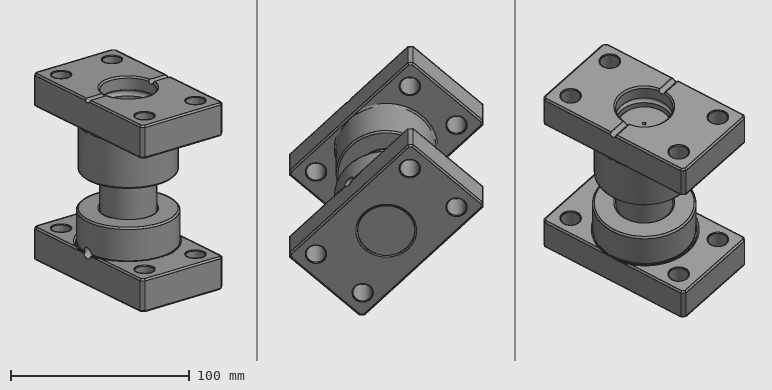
import cadquery as cq
WIDTH = 100.0
DEPTH = 58.0
HEIGHT = 113.0

PLATE_THICKNESS = 20.0
CORNER_CHAMFER = 2.0
EDGE_CHAMFER = 1.01

BOLT_DIAMETER = 11.0
BOLT_CHAMFER = 0.5
BOLT_SPACING_X = 76.0
BOLT_SPACING_Y = 36.0

PILLAR_DIAMETER = 32.0
PILLAR_LENGTH = 100.0
PILLAR_ROUNDING = 3.5
CENTRE_DIAMETER = 1.9
CENTRE_DEPTH = CENTRE_DIAMETER / 2

HOLDER_HUB_DIAMETER = DEPTH
HOLDER_HUB_HEIGHT = PLATE_THICKNESS
BUSH_HUB_DIAMETER = 56.0
HUB_GAP = 23.0
BUSH_HUB_HEIGHT = HEIGHT - 2 * PLATE_THICKNESS - HOLDER_HUB_HEIGHT - HUB_GAP

ROOT_FILLET = 1.01

RELIEF_INNER_RADIUS = 28.2
RELIEF_RIM_RADIUS = 30.2
RELIEF_DEPTH = 1.07
RELIEF_OFFSET_X = -0.7

CROSS_HOLE_DIAMETER = 6.8

OIL_GROOVE_RADIUS = 2.0
RING_GROOVE_RADIUS = 1.8
RING_GROOVE_DEPTH = PLATE_THICKNESS / 2


def make_through_hole(diameter, length, chamfer):
    """Cutter for a hole from Z = 0 to Z = length that is chamfered at both mouths."""
    radius = diameter / 2
    mouth = radius + chamfer
    return (
        cq.Workplane("XZ")
        .polyline([
            (0, 0),
            (mouth, 0),
            (radius, chamfer),
            (radius, length - chamfer),
            (mouth, length),
            (0, length),
        ])
        .close()
        .revolve(360, (0, 0, 0), (0, 1, 0))
    )


def make_rod_toward_front(radius, height):
    """Cylinder at the given height that runs from the Z axis out through the -Y side."""
    plane = cq.Plane(origin=(0, 0, height), xDir=(0, 0, 1), normal=(0, -1, 0))
    return cq.Workplane(plane).circle(radius).extrude(DEPTH)


def make_plate():
    """Bevelled flange plate standing on Z = 0, with four chamfered bolt holes."""
    plate = cq.Workplane("XY").box(WIDTH, DEPTH, PLATE_THICKNESS, centered=(True, True, False))
    plate = plate.edges("|Z").chamfer(CORNER_CHAMFER)
    plate = plate.faces("<Z or >Z").chamfer(EDGE_CHAMFER)
    bolt_hole = make_through_hole(BOLT_DIAMETER, PLATE_THICKNESS, BOLT_CHAMFER)
    for side_x in (-1, 1):
        for side_y in (-1, 1):
            place = (side_x * BOLT_SPACING_X / 2, side_y * BOLT_SPACING_Y / 2, 0)
            plate = plate.cut(bolt_hole.translate(place))
    return plate


def make_flange(hub_diameter, hub_height):
    """Plate on Z = 0 with a hub on top, bored through both for the pillar."""
    hub = cq.Workplane("XY").circle(hub_diameter / 2).extrude(hub_height)
    hub = hub.faces(">Z").chamfer(EDGE_CHAMFER)
    flange = make_plate().union(hub.translate((0, 0, PLATE_THICKNESS)))
    return flange.cut(make_through_hole(PILLAR_DIAMETER, PLATE_THICKNESS + hub_height, EDGE_CHAMFER))


def make_relief_groove():
    """Cutter for the groove that undercuts the holder hub and opens into the plate around it."""
    floor_radius = RELIEF_RIM_RADIUS - RELIEF_DEPTH
    ring = (
        cq.Workplane("XZ")
        .polyline([
            (RELIEF_INNER_RADIUS, 0),
            (RELIEF_RIM_RADIUS, 0),
            (floor_radius, -RELIEF_DEPTH),
            (RELIEF_INNER_RADIUS, -RELIEF_DEPTH),
        ])
        .close()
        .revolve(360, (0, 0, 0), (0, 1, 0))
    )
    return ring.translate((RELIEF_OFFSET_X, 0, PLATE_THICKNESS))


def make_holder():
    """Lower flange that carries the pillar, with a cross hole from the -Y side to the bore."""
    holder = make_flange(HOLDER_HUB_DIAMETER, HOLDER_HUB_HEIGHT)
    cross_hole = make_rod_toward_front(CROSS_HOLE_DIAMETER / 2, PLATE_THICKNESS)
    return holder.cut(make_relief_groove()).cut(cross_hole)


def make_root_fillet():
    """Concave ring around the foot of the bush hub, kept to the flat part of the plate face."""
    radius = BUSH_HUB_DIAMETER / 2
    ring = (
        cq.Workplane("XZ")
        .moveTo(radius - ROOT_FILLET, 0)
        .lineTo(radius + ROOT_FILLET, 0)
        .radiusArc((radius, ROOT_FILLET), ROOT_FILLET)
        .lineTo(radius - ROOT_FILLET, ROOT_FILLET)
        .close()
        .revolve(360, (0, 0, 0), (0, 1, 0))
    )
    flat = cq.Workplane("XY").box(WIDTH, DEPTH - 2 * EDGE_CHAMFER, 2 * ROOT_FILLET)
    return ring.intersect(flat).translate((0, 0, PLATE_THICKNESS))


def make_ring_groove():
    """Cutter for the round-bottomed ring groove halfway through the bush plate."""
    axis_x = -PILLAR_DIAMETER / 2
    return (
        cq.Workplane("XZ", origin=(PILLAR_DIAMETER / 2, 0, HEIGHT - RING_GROOVE_DEPTH))
        .circle(RING_GROOVE_RADIUS)
        .revolve(360, (axis_x, 0, 0), (axis_x, 1, 0))
    )


def make_bush():
    """Upper flange with its hub hanging down, sliding on the pillar, with oil grooves."""
    bush = make_flange(BUSH_HUB_DIAMETER, BUSH_HUB_HEIGHT).union(make_root_fillet())
    bush = bush.rotate((0, 0, 0), (1, 0, 0), 180).translate((0, 0, HEIGHT))
    front_groove = make_rod_toward_front(OIL_GROOVE_RADIUS, HEIGHT)
    back_groove = front_groove.rotate((0, 0, 0), (0, 0, 1), 180)
    return bush.cut(front_groove).cut(back_groove).cut(make_ring_groove())


def make_pillar():
    """Round pillar with a rounded top edge and a conical centre mark."""
    pillar = cq.Workplane("XY").circle(PILLAR_DIAMETER / 2).extrude(PILLAR_LENGTH)
    pillar = pillar.faces(">Z").edges().fillet(PILLAR_ROUNDING)
    centre_mark = cq.Solid.makeCone(
        0, CENTRE_DIAMETER / 2, CENTRE_DEPTH, cq.Vector(0, 0, PILLAR_LENGTH - CENTRE_DEPTH)
    )
    return pillar.cut(cq.Workplane(centre_mark))


holder = make_holder()
bush = make_bush()
pillar = make_pillar()

result = cq.Compound.makeCompound([
    holder.solids().val(),
    bush.solids().val(),
    pillar.solids().val(),
])